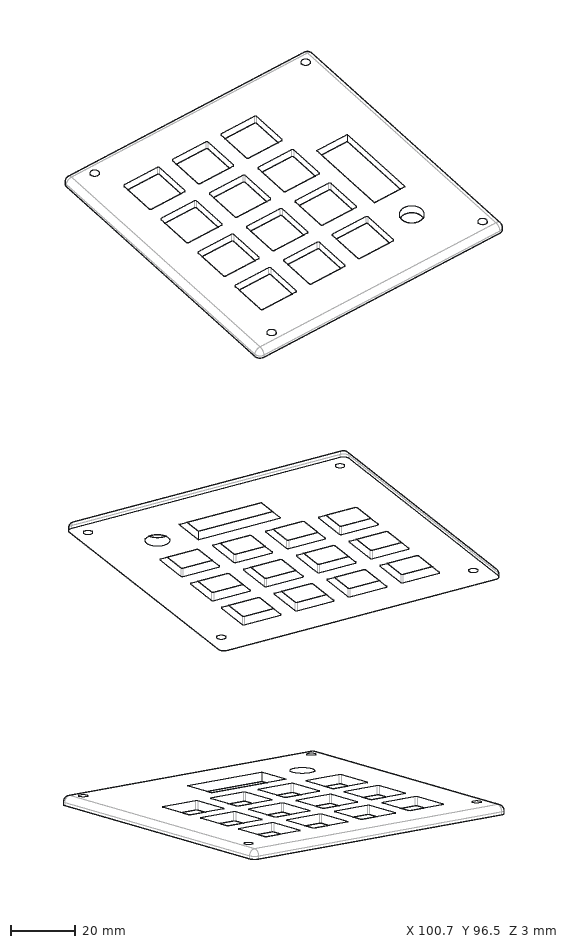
import cadquery as cq

plate_length = 100.7
plate_width = 96.5
plate_thickness = 3.0
edge_radius = 2.0

screw_diameter = 2.9
screw_spacing_x = 90.7
screw_spacing_y = 82.7
screw_centre_y = 1.9

key_columns = 4
key_rows = 3
key_size = 13.9
key_pitch = 19.0
key_corner_radius = 0.5
key_centre_x = -0.1
key_centre_y = -9.8

display_length = 29.6
display_width = 12.0
display_x = 3.3
upper_row_y = 27.7
knob_diameter = 7.8
knob_x = 29.4


def make_plate():
    plate = cq.Workplane("XY").box(
        plate_length, plate_width, plate_thickness, centered=(True, True, False)
    )
    plate = plate.edges("|Z").fillet(edge_radius)
    return plate.faces(">Z").edges().fillet(edge_radius)


def make_screw_holes():
    return (
        cq.Workplane("XY")
        .center(0, screw_centre_y)
        .rect(screw_spacing_x, screw_spacing_y, forConstruction=True)
        .vertices()
        .circle(screw_diameter / 2)
        .extrude(plate_thickness)
    )


def make_key_openings():
    openings = (
        cq.Workplane("XY")
        .center(key_centre_x, key_centre_y)
        .rarray(key_pitch, key_pitch, key_columns, key_rows)
        .rect(key_size, key_size)
        .extrude(plate_thickness)
    )
    return openings.edges("|Z").fillet(key_corner_radius)


def make_display_window():
    return (
        cq.Workplane("XY")
        .center(display_x, upper_row_y)
        .rect(display_length, display_width)
        .extrude(plate_thickness)
    )


def make_knob_hole():
    return (
        cq.Workplane("XY")
        .center(knob_x, upper_row_y)
        .circle(knob_diameter / 2)
        .extrude(plate_thickness)
    )


result = (
    make_plate()
    .cut(make_screw_holes())
    .cut(make_key_openings())
    .cut(make_display_window())
    .cut(make_knob_hole())
)